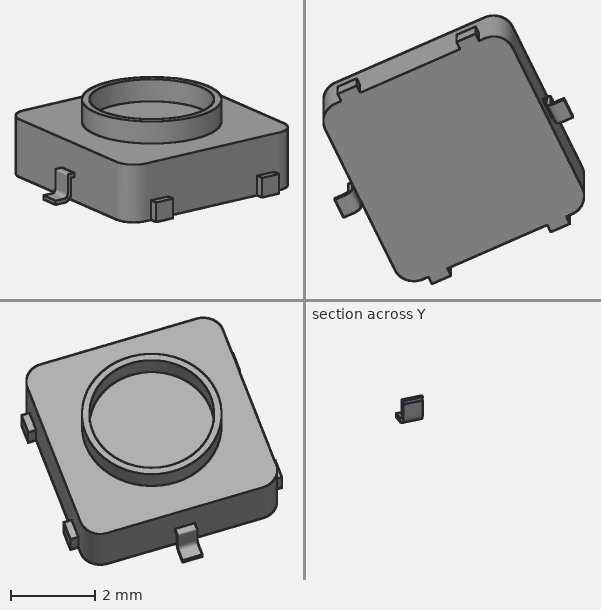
import cadquery as cq

body_side = 4.9
body_height = 1.445
corner_radius = 0.5

total_height = 2.0
rim_outer_diameter = 3.31
rim_inner_diameter = 2.96
rim_height = total_height - body_height

pegs_span = 5.3
peg_width = 0.5
peg_height = 0.49
peg_offset = 1.555

leads_span = 6.0
lead_width = 0.5
lead_thickness = 0.1
lead_bottom = 0.02
lead_top = 0.71
foot_reach = 0.355
bend_inner_radius = 0.1
shoulder_radius = 0.04


def make_body():
    return (
        cq.Workplane("XY")
        .rect(body_side, body_side)
        .extrude(body_height)
        .edges("|Z")
        .fillet(corner_radius)
    )


def make_rim():
    return (
        cq.Workplane("XY")
        .workplane(offset=body_height)
        .circle(rim_outer_diameter / 2)
        .circle(rim_inner_diameter / 2)
        .extrude(rim_height)
    )


def make_peg_bar(y):
    """A bar through the housing whose two ends form opposite pegs."""
    return (
        cq.Workplane("XY")
        .center(0, y)
        .rect(pegs_span, peg_width)
        .extrude(peg_height)
    )


def make_lead():
    """The lead on the +Y side: a stub from the housing, a rounded shoulder, a drop, a bend and a foot."""
    tip = leads_span / 2
    outer_face = tip - foot_reach
    inner_face = outer_face - lead_thickness
    root = body_side / 2 - lead_thickness
    foot_top = lead_bottom + lead_thickness
    bend_outer_radius = bend_inner_radius + lead_thickness
    bend_y = outer_face + bend_inner_radius
    bend_z = foot_top + bend_inner_radius
    return (
        cq.Workplane("YZ")
        .moveTo(root, lead_top)
        .lineTo(outer_face - shoulder_radius, lead_top)
        .radiusArc((outer_face, lead_top - shoulder_radius), shoulder_radius)
        .lineTo(outer_face, bend_z)
        .radiusArc((bend_y, foot_top), -bend_inner_radius)
        .lineTo(tip, foot_top)
        .lineTo(tip, lead_bottom)
        .lineTo(bend_y, lead_bottom)
        .radiusArc((inner_face, bend_z), bend_outer_radius)
        .lineTo(inner_face, lead_top - lead_thickness)
        .lineTo(root, lead_top - lead_thickness)
        .close()
        .extrude(lead_width / 2, both=True)
    )


result = make_body().union(make_rim())
for peg_y in (-peg_offset, peg_offset):
    result = result.union(make_peg_bar(peg_y))

lead = make_lead()
result = result.union(lead).union(lead.mirror("XZ"))